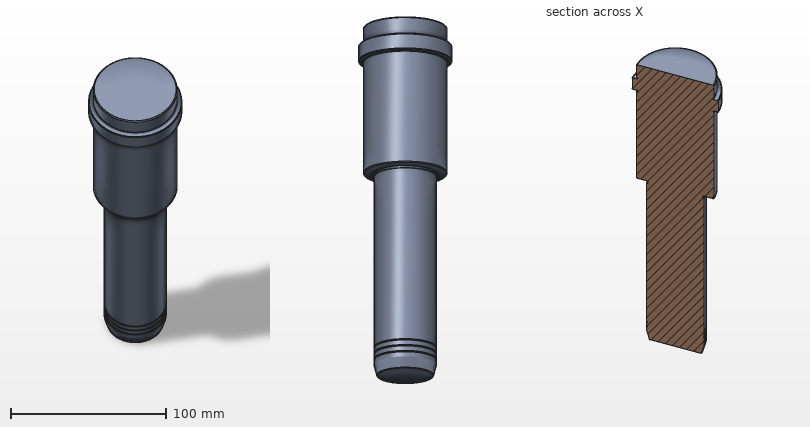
import cadquery as cq

total_height = 233.0
flange_top = 221.0
flange_height = 10.3
body_bottom = 135.4
nose_height = 7.0

flange_radius = 30.0
body_radius = 27.0
pin_radius = 20.0
nose_radius = 18.2

body_chamfer = 0.7
flange_chamfer = 0.5
nose_chamfer = 0.5

body_relief_depth = 0.5
body_relief_width = 0.7
head_neck_height = 0.5
pin_relief_depth = 0.7
pin_relief_width = 1.6

groove_count = 3
groove_pitch = 4.0
first_groove_height = 10.7
groove_half_width = 0.5
groove_depth = 0.5


def revolve_profile(points):
    """Solid of revolution about Z from (radius, height) points."""
    return cq.Workplane("XZ").polyline(points).close().revolve(360, (0, 0, 0), (0, 1, 0))


neck_bottom = body_bottom - pin_relief_width
neck_radius = pin_radius - pin_relief_depth
pin = revolve_profile(
    [
        (0, 0),
        (nose_radius, 0),
        (pin_radius, nose_height),
        (pin_radius, neck_bottom),
        (neck_radius, neck_bottom),
        (neck_radius, body_bottom),
        (0, body_bottom),
    ]
)
pin = pin.faces("<Z").chamfer(nose_chamfer)
for i in range(groove_count):
    groove_height = first_groove_height + i * groove_pitch
    groove = revolve_profile(
        [
            (pin_radius, groove_height - groove_half_width),
            (pin_radius, groove_height + groove_half_width),
            (pin_radius - groove_depth, groove_height),
        ]
    )
    pin = pin.cut(groove)

flange_bottom = flange_top - flange_height
body = cq.Workplane("XY").workplane(offset=body_bottom).circle(body_radius)
body = body.extrude(total_height - body_bottom)
body = body.faces("<Z or >Z").chamfer(body_chamfer)

relief_radius = body_radius - body_relief_depth
head_neck_radius = body_radius - body_chamfer
lower_relief = revolve_profile(
    [
        (body_radius, flange_bottom),
        (relief_radius, flange_bottom),
        (relief_radius, flange_bottom - body_relief_width),
        (body_radius, flange_bottom - body_relief_width),
    ]
)
upper_relief = revolve_profile(
    [
        (body_radius, flange_top),
        (head_neck_radius, flange_top),
        (head_neck_radius, flange_top + head_neck_height),
        (body_radius, flange_top + head_neck_height + body_chamfer),
    ]
)
body = body.cut(lower_relief).cut(upper_relief)

flange = cq.Workplane("XY").workplane(offset=flange_bottom).circle(flange_radius)
flange = flange.extrude(flange_height).faces("<Z or >Z").chamfer(flange_chamfer)

result = pin.union(body).union(flange)